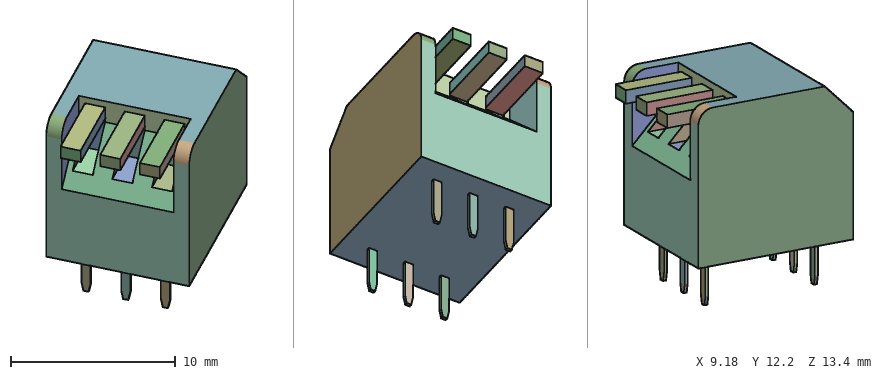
import cadquery as cq

width = 9.18
depth = 10.81
pin_length = 3.2
overall_height = 13.4
height = overall_height - pin_length
rear_chamfer = 2.0
front_radius = 1.0

side_wall = 1.0
recess_width = width - 2 * side_wall
recess_depth = 3.22
rear_wall_height = 1.6

pitch = 2.55
lever_width = 1.29
lever_top_drop = 0.47
lever_thickness = 0.87
lever_overhang = 1.38
slot_floor_drop = 3.94
slot_undercut = 0.13
slot_depth = recess_depth + slot_undercut

pin_width = 0.58
pin_thickness = 0.21
tip_width = 0.32
tip_length = 0.62
row_spacing = 7.64

columns = [-pitch, 0, pitch]
rows = [(depth - row_spacing) / 2, (depth + row_spacing) / 2]


def block(x_size, y_start, y_end, z_start, z_end, x_center=0):
    """Box centred on x_center, between the given Y and Z limits."""
    return (
        cq.Workplane("XY")
        .box(x_size, y_end - y_start, z_end - z_start, centered=(True, False, False))
        .translate((x_center, y_start, z_start))
    )


def housing():
    body = block(width, 0, depth, 0, height)
    body = body.edges(">Y and >Z").chamfer(rear_chamfer)
    return body.edges("<Y and >Z").fillet(front_radius)


def recess():
    ramp_top = height - rear_wall_height
    return (
        cq.Workplane("YZ")
        .moveTo(0, height)
        .lineTo(recess_depth, height)
        .lineTo(recess_depth, ramp_top)
        .lineTo(0, ramp_top - recess_depth)
        .close()
        .extrude(recess_width / 2, both=True)
    )


def slot(x):
    slot_top = height - lever_top_drop - lever_thickness
    return block(lever_width, 0, slot_depth, height - slot_floor_drop, slot_top, x)


def lever(x):
    top = height - lever_top_drop
    return block(lever_width, -lever_overhang, slot_depth, top - lever_thickness, top, x)


def pin(x, y):
    half_width = pin_width / 2
    half_tip = tip_width / 2
    taper_start = tip_length - pin_length
    return (
        cq.Workplane("XZ")
        .polyline([
            (-half_width, 0),
            (half_width, 0),
            (half_width, taper_start),
            (half_tip, -pin_length),
            (-half_tip, -pin_length),
            (-half_width, taper_start),
        ])
        .close()
        .extrude(pin_thickness / 2, both=True)
        .translate((x, y, 0))
    )


result = housing().cut(recess())
for column in columns:
    result = result.cut(slot(column)).union(lever(column))
    for row in rows:
        result = result.union(pin(column, row))